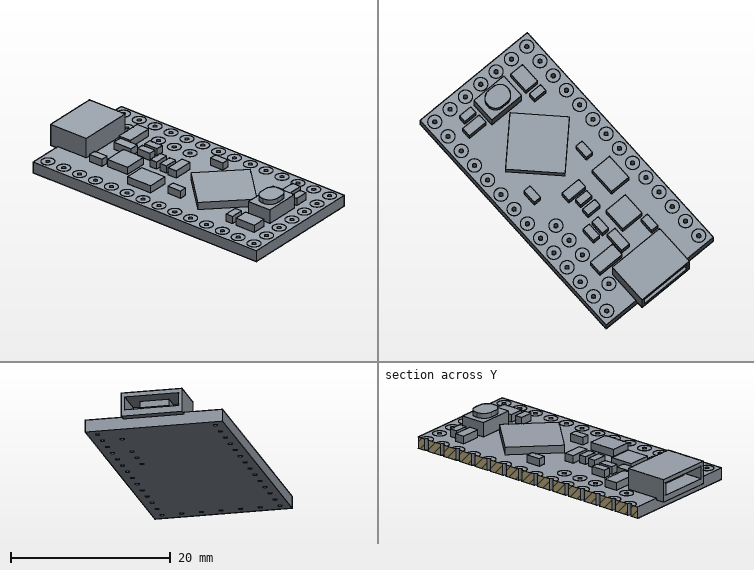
import cadquery as cq

overall_length = 36.85
board_width = 17.75
board_thickness = 1.6
board_length = 35.7

pins_along = 14
pins_across = 7
pin_pitch = board_width / pins_across
inner_row_columns = (1, 3, 4, 5)
pad_diameter = 1.77
pad_height = 0.02
hole_diameter = 0.5

usb_length = 5.7
usb_width = 7.85
usb_rise = 2.8
usb_sink = 0.25
usb_left = board_length / 2 - overall_length
usb_side_wall = 0.45
usb_roof = 0.55
usb_opening_height = 1.7
usb_opening_depth = 4.42
tongue_width = 3.75
tongue_thickness = 0.8
tongue_roof_gap = 0.25
tongue_length = 2.95

component_height = 1.05
small_chip = (2.0, 1.05)
short_chip = (1.85, 1.0)
large_chip = (2.75, 1.3)
controller_side = 7.5
controller_centre = (5.7, -0.07)
controller_turn = 45
regulator_size = (3.2, 3.2)
regulator_centre = (-8.25, -2.35)
crystal_size = (3.7, 2.88)
crystal_centre = (-3.35, -4.35)
fuse_size = (1.85, 3.7)
fuse_centre = (-11.45, 3.35)
lamp_size = (2.9, 1.95)
lamp_centre = (13.35, -4.45)

small_chips_along_x = ((-7.63, 2.5), (-7.63, 1.05), (1.05, 4.83), (-11.4, -3.87), (1.25, -3.98))
small_chips_along_y = ((-5.12, 0.35),)
short_chips_along_y = ((-3.55, 0.25), (14.3, 4.05), (10.8, -4.5))
large_chips_along_x = ((-10.55, 0.55),)
large_chips_along_y = ((-1.95, 0.5), (12.65, 4.4))

button_size = (3.43, 4.95)
button_centre = (13.25, 0)
button_height = 1.95
plunger_size = (2.65, 3.35)
plunger_corner_radius = 1.25
plunger_rise = 0.65


def box_on_board(size, centre, height):
    return (
        cq.Workplane("XY", origin=(centre[0], centre[1], board_thickness))
        .rect(*size)
        .extrude(height)
    )


def turned(size):
    return (size[1], size[0])


def pin_positions():
    half_x = (pins_along - 1) / 2
    half_y = (pins_across - 1) / 2
    long_rows = [(column, row) for row in (0, pins_across - 1) for column in range(pins_along)]
    end_column = [(pins_along - 1, row) for row in range(1, pins_across - 1)]
    inner_row = [(column, pins_across - 2) for column in inner_row_columns]
    return [
        ((column - half_x) * pin_pitch, (row - half_y) * pin_pitch)
        for column, row in long_rows + end_column + inner_row
    ]


def board():
    pins = pin_positions()
    plate = cq.Workplane("XY").rect(board_length, board_width).extrude(board_thickness)
    pads = (
        cq.Workplane("XY", origin=(0, 0, board_thickness))
        .pushPoints(pins)
        .circle(pad_diameter / 2)
        .extrude(pad_height)
    )
    holes = (
        cq.Workplane("XY")
        .pushPoints(pins)
        .circle(hole_diameter / 2)
        .extrude(board_thickness + pad_height)
    )
    return plate.union(pads).cut(holes)


def usb_block(left, length, width, top, height):
    block = cq.Workplane("XY").box(length, width, height, centered=(False, True, False))
    return block.translate((left, 0, top - height))


def usb_socket():
    top = board_thickness + usb_rise
    opening_top = top - usb_roof
    opening_width = usb_width - 2 * usb_side_wall
    shell = usb_block(usb_left, usb_length, usb_width, top, usb_rise + usb_sink)
    opening = usb_block(usb_left, usb_opening_depth, opening_width, opening_top, usb_opening_height)
    tongue = usb_block(
        usb_left + usb_opening_depth - tongue_length,
        tongue_length,
        tongue_width,
        opening_top - tongue_roof_gap,
        tongue_thickness,
    )
    return shell.cut(opening).union(tongue)


def button():
    body = box_on_board(button_size, button_centre, button_height)
    plunger = (
        body.faces(">Z")
        .workplane()
        .rect(*plunger_size)
        .extrude(plunger_rise, combine=False)
        .edges("|Z")
        .fillet(plunger_corner_radius)
    )
    return body.union(plunger)


def components():
    controller_size = (controller_side, controller_side)
    controller = box_on_board(controller_size, (0, 0), component_height)
    controller = controller.rotate((0, 0, 0), (0, 0, 1), controller_turn)
    controller = controller.translate((*controller_centre, 0))
    placed = [
        (regulator_size, [regulator_centre]),
        (crystal_size, [crystal_centre]),
        (fuse_size, [fuse_centre]),
        (lamp_size, [lamp_centre]),
        (small_chip, small_chips_along_x),
        (turned(small_chip), small_chips_along_y),
        (turned(short_chip), short_chips_along_y),
        (large_chip, large_chips_along_x),
        (turned(large_chip), large_chips_along_y),
    ]
    parts = [controller]
    for size, centres in placed:
        for centre in centres:
            parts.append(box_on_board(size, centre, component_height))
    return parts


result = board().union(usb_socket()).union(button())
for component in components():
    result = result.union(component)